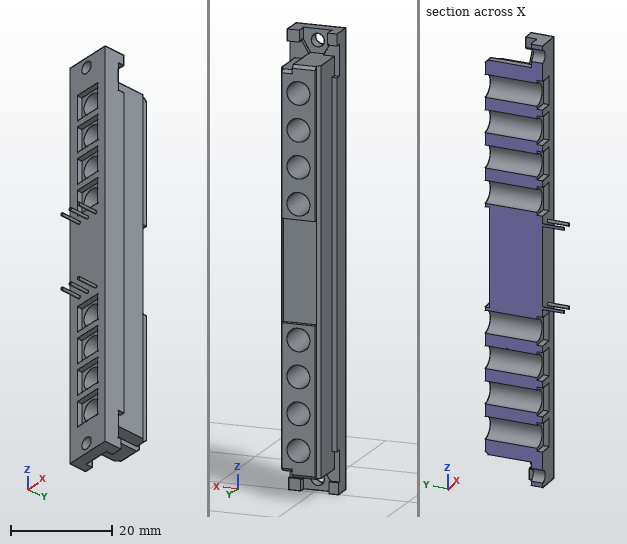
import cadquery as cq
import math


length = 94.9
half_length = length / 2
base_width = 10.5
base_depth = 4.9
notch_depth = 3.5
notch_outer = 45.0
notch_inner = 38.4
lower_lip_depth = 4.2

mount_x = -0.3
mount_diameter = 2.75
nut_floor = 2.6
nut_flats = 5.3
nut_corners = nut_flats / math.cos(math.pi / 6)
nut_slot_width = 6.0

cover_width = 8.35
cover_half_length = 42.4
cover_depth = 12.5
cover_bevel = 0.7
cover_shoulder = 11.6
pad_width = cover_width - 2 * cover_bevel
pad_end_bevel = 0.7
pad_inner = 10.7
end_step_x = 1.3
end_step = 1.1

mount_z = cover_half_length + nut_flats / 2

pocket_size = 6.1
pocket_depth = 1.2
hole_diameter = 4.8
pocket_first_z = 13.95
pocket_pitch = 7.6
pockets_per_half = 4

pin_diameter = 0.7
pin_length = 4.6
pin_pitch = 2.5
pin_row_z = 8.9
pin_root = 0.95

ENDS = (1, -1)


def block(x_range, y_range, z_range):
    """Box filling the given ranges; each range may run either way."""
    ranges = (x_range, y_range, z_range)
    sizes = [abs(b - a) for a, b in ranges]
    centre = tuple((a + b) / 2 for a, b in ranges)
    return cq.Workplane("XY").box(*sizes).translate(centre)


def around(centre, size):
    """Range of the given size about a centre."""
    return (centre - size / 2, centre + size / 2)


def rod(x, z, diameter, y_start, y_end):
    """Cylinder along +Y from y_start to y_end."""
    return cq.Workplane(cq.Solid.makeCylinder(
        diameter / 2, y_end - y_start, cq.Vector(x, y_start, z), cq.Vector(0, 1, 0)))


def make_base():
    side_profile = [
        (0, -half_length),
        (lower_lip_depth, -half_length),
        (lower_lip_depth, -notch_outer),
        (notch_depth, -notch_outer),
        (notch_depth, -notch_inner),
        (base_depth, -notch_inner),
        (base_depth, notch_inner),
        (notch_depth, notch_inner),
        (notch_depth, notch_outer),
        (base_depth, notch_outer),
        (base_depth, half_length),
        (0, half_length),
    ]
    return cq.Workplane("YZ").polyline(side_profile).close().extrude(base_width / 2, both=True)


def make_pad(end, x_start, x_end, outer):
    """Raised strip of the cover whose bevelled outer end lies at |Z| = outer."""
    profile = [
        (notch_depth, end * pad_inner),
        (cover_depth, end * pad_inner),
        (cover_depth, end * (outer - pad_end_bevel)),
        (cover_depth - pad_end_bevel, end * outer),
        (notch_depth, end * outer),
    ]
    plane = cq.Workplane("YZ").workplane(offset=x_start)
    return plane.polyline(profile).close().extrude(x_end - x_start)


def make_cover():
    half = cover_width / 2
    bevel_start = cover_shoulder - cover_bevel
    section = [
        (-half, notch_depth),
        (half, notch_depth),
        (half, bevel_start),
        (pad_width / 2, cover_shoulder),
        (-pad_width / 2, cover_shoulder),
        (-half, bevel_start),
    ]
    cover = cq.Workplane("XY").polyline(section).close().extrude(cover_half_length, both=True)
    for end in ENDS:
        step_z = (end * (cover_half_length - end_step), end * half_length)
        cover = cover.cut(block((end_step_x, half), (notch_depth, cover_depth), step_z))
        cover = cover.union(make_pad(end, -pad_width / 2, end_step_x, cover_half_length))
        cover = cover.union(make_pad(end, end_step_x, pad_width / 2, cover_half_length - end_step))
    return cover


def make_mount_cut(end):
    """Mounting hole with a hexagonal nut recess opening through the end of the bar."""
    z = end * mount_z
    hole = rod(mount_x, z, mount_diameter, 0, nut_floor)
    nut = (
        cq.Workplane("XZ", origin=(mount_x, base_depth, z))
        .polygon(6, nut_corners)
        .extrude(base_depth - nut_floor)
    )
    slot = block(around(mount_x, nut_slot_width), (nut_floor, base_depth), (z, end * half_length))
    return hole.union(nut).union(slot)


def make_pocket_cut(z):
    pocket = block(around(0, pocket_size), (0, pocket_depth), around(z, pocket_size))
    return pocket.union(rod(0, z, hole_diameter, 0, cover_depth))


def make_pin(x, z):
    return rod(x, z, pin_diameter, -pin_length, pin_root)


base = make_base()
for end in ENDS:
    base = base.cut(make_mount_cut(end))

result = base.union(make_cover())

for end in ENDS:
    for index in range(pockets_per_half):
        result = result.cut(make_pocket_cut(end * (pocket_first_z + index * pocket_pitch)))
    for column in (-1, 0, 1):
        result = result.union(make_pin(column * pin_pitch, end * pin_row_z))